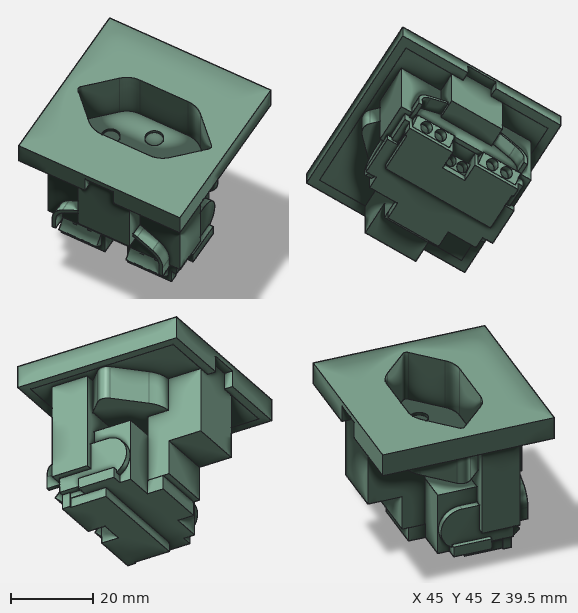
import cadquery as cq


module_height = 39.5

plate_size = 45.0
plate_height = 6.0
rim_wall = 2.3
skin = 1.55
cavity_half = plate_size / 2 - rim_wall
cavity_top = plate_height - skin
notch_width = 7.9

recess_half_length = 18.9
recess_half_width = 9.5
recess_corner_radius = 6.5
recess_tip_radius = 1.0
cup_wall = 1.55
cup_bottom = -9.0
cup_floor = cup_bottom + cup_wall
pin_hole_diameter = 4.6
pin_hole_depth = 0.75
pin_spacing = 19.0
earth_pin_offset = 4.72

clip_width = 14.4
clip_bottom = -17.78
wall_gap = 10.45
front_wall_width = 36.9
front_wall_face = -15.15
front_wall_bottom = -25.6
rear_wall_face = 11.2
rear_wall_bottom = -27.15

block_width = 30.25
block_front = -14.1
block_rear = 5.1
block_top = -14.15
block_bottom = -30.95
foot_width = 29.9
foot_rear = -2.02
foot_bottom = plate_height - module_height
slab_width = 30.85
slab_rear = -11.92
ear_thickness = 1.65
ear_radius = 5.55
ear_top = -18.5
ear_bottom = ear_top - 2 * ear_radius
ear_rear = 4.9
tab_thickness = 1.2
tab_rear = 2.02
tab_front = -7.95
tab_top = -28.12
tail_width = clip_width
tail_rear = 9.55
channel_width = 6.3
channel_face = -9.35

hood_face = -18.45
hood_bottom = -26.35
hood_strip = 1.0
hood_bend_radius = 6.0
hood_shoulder_z = -19.65
hood_top_z = -14.45
hood_top_half_width = 6.9

ridge_depth = 2.5
side_ridge_width = 10.58
side_ridge_x = 9.35
side_ridge_tip_z = -29.2
side_ridge_above = 2.65
side_ridge_below = 2.35
side_hole_diameter = 3.0
side_hole_spacing = 4.0
centre_ridge_tip_z = -28.45
centre_ridge_above = 3.15
centre_ridge_below = 2.02
centre_hole_diameter = 2.8
centre_hole_spacing = 3.25
screw_hole_depth = 2.9


def box(x_min, x_max, y_min, y_max, z_min, z_max):
    size = (x_max - x_min, y_max - y_min, z_max - z_min)
    return cq.Workplane("XY").box(*size, centered=False).translate((x_min, y_min, z_min))


def centred_box(width, y_min, y_max, z_min, z_max):
    """A box of the given X width, centred on X = 0."""
    return box(-width / 2, width / 2, y_min, y_max, z_min, z_max)


def recess_prism(z_min, z_max):
    """The recess outline as a solid; its slanted sides run at 45 degrees."""
    corner_x = recess_half_length - recess_half_width
    outline = [
        (-recess_half_length, 0),
        (-corner_x, recess_half_width),
        (corner_x, recess_half_width),
        (recess_half_length, 0),
        (corner_x, -recess_half_width),
        (-corner_x, -recess_half_width),
    ]
    prism = cq.Workplane("XY").workplane(offset=z_min).polyline(outline).close().extrude(z_max - z_min)
    prism = prism.edges("|Z and (<X or >X)").fillet(recess_tip_radius)
    long_side_corners = cq.selectors.BoxSelector(
        (-corner_x - 0.45, -plate_size, z_min - 0.45), (corner_x + 0.45, plate_size, z_max + 0.45)
    )
    return prism.edges("|Z").edges(long_side_corners).fillet(recess_corner_radius)


def cup_prism(z_min, z_max):
    """The outside of the cup: the recess outline grown by the cup wall."""
    outline = recess_prism(z_min, z_max).faces("<Z").wires().val()
    return cq.Workplane("XY").add(outline).toPending().offset2D(cup_wall).extrude(z_max - z_min)


def make_faceplate():
    half = plate_size / 2
    plate = centred_box(plate_size, -half, half, 0, plate_height)
    plate = plate.cut(centred_box(2 * cavity_half, -cavity_half, cavity_half, 0, cavity_top))
    plate = plate.cut(centred_box(notch_width, -half, half, 0, cavity_top))
    plate = plate.union(cup_prism(cup_bottom, plate_height))
    plate = plate.cut(recess_prism(cup_floor, plate_height))
    pins = [(-pin_spacing / 2, 0), (pin_spacing / 2, 0), (0, earth_pin_offset)]
    holes = cq.Workplane("XY").workplane(offset=cup_floor - pin_hole_depth).pushPoints(pins)
    return plate.cut(holes.circle(pin_hole_diameter / 2).extrude(pin_hole_depth))


def make_carrier(block):
    half_gap = wall_gap / 2
    carrier = centred_box(2 * cavity_half, -cavity_half, cavity_half, 0, cavity_top)
    carrier = carrier.union(centred_box(clip_width, -cavity_half, -half_gap, clip_bottom, 0))
    carrier = carrier.union(centred_box(clip_width, half_gap, cavity_half, clip_bottom, 0))
    carrier = carrier.union(
        centred_box(front_wall_width, front_wall_face, -half_gap, front_wall_bottom, 0)
    )
    carrier = carrier.union(centred_box(clip_width, half_gap, rear_wall_face, rear_wall_bottom, 0))
    carrier = carrier.cut(cup_prism(cup_bottom, plate_height))
    return carrier.cut(block)


def hood_prism(inset):
    """The solid under the hood's arch, drawn in by the inset on its sides and top."""
    leg_x = slab_width / 2
    outline = [
        (-leg_x, hood_bottom),
        (-leg_x, hood_shoulder_z),
        (-hood_top_half_width, hood_top_z),
        (hood_top_half_width, hood_top_z),
        (leg_x, hood_shoulder_z),
        (leg_x, hood_bottom),
    ]
    prism = cq.Workplane("XZ", origin=(0, block_front, 0)).polyline(outline).close()
    prism = prism.extrude(block_front - hood_face)
    prism = prism.edges("|Y").edges("not <Z").fillet(hood_bend_radius)
    if inset == 0:
        return prism
    wire = prism.faces("<Y").wires().val()
    inner = cq.Workplane("XZ", origin=(0, hood_face, 0)).add(wire).toPending().offset2D(-inset)
    return inner.extrude(hood_face - block_front)


def make_hood():
    hollow = hood_prism(hood_strip)
    open_bottom = hollow.union(hollow.translate((0, 0, -hood_strip)))
    return hood_prism(0).cut(open_bottom)


def make_ears():
    """Round-ended side plates on both sides of the block."""
    width = block_width + 2 * ear_thickness
    round_centre_y = ear_rear - ear_radius
    centre_z = ear_top - ear_radius
    bar = centred_box(width, block_front, round_centre_y, ear_bottom, ear_top)
    round_end = (
        cq.Workplane("YZ", origin=(-width / 2, round_centre_y, centre_z))
        .circle(ear_radius)
        .extrude(width)
    )
    return bar.union(round_end)


def make_ridge(x, face_y, width, tip_z, above, below, hole_diameter, hole_spacing):
    """A wedge and its hole cutters, on a face at face_y and centred at x."""
    profile = [
        (face_y, tip_z + above),
        (face_y - ridge_depth, tip_z),
        (face_y, tip_z - below),
    ]
    wedge = cq.Workplane("YZ", origin=(x - width / 2, 0, 0)).polyline(profile).close().extrude(width)
    lower_face = cq.Plane(
        origin=(x, face_y - ridge_depth / 2, tip_z - below / 2),
        xDir=(1, 0, 0),
        normal=(0, -below, -ridge_depth),
    )
    holes = cq.Workplane(lower_face).pushPoints([(-hole_spacing / 2, 0), (hole_spacing / 2, 0)])
    return wedge, holes.circle(hole_diameter / 2).extrude(-screw_hole_depth)


def make_terminal_block():
    block = centred_box(block_width, block_front, block_rear, block_bottom, block_top)
    block = block.union(make_ears()).union(make_hood())
    tab_width = block_width + 2 * (ear_thickness + tab_thickness)
    block = block.union(centred_box(tab_width, tab_front, tab_rear, block_bottom, tab_top))
    block = block.union(centred_box(tail_width, block_rear, tail_rear, block_bottom, rear_wall_bottom))
    block = block.union(centred_box(foot_width, slab_rear, foot_rear, foot_bottom, block_bottom))
    block = block.union(centred_box(slab_width, block_front, slab_rear, foot_bottom, ear_bottom))
    block = block.cut(
        centred_box(channel_width, block_front, channel_face, foot_bottom, front_wall_bottom)
    )
    side_ridge = (
        side_ridge_width,
        side_ridge_tip_z,
        side_ridge_above,
        side_ridge_below,
        side_hole_diameter,
        side_hole_spacing,
    )
    centre_ridge = (
        channel_width,
        centre_ridge_tip_z,
        centre_ridge_above,
        centre_ridge_below,
        centre_hole_diameter,
        centre_hole_spacing,
    )
    ridges = [
        make_ridge(-side_ridge_x, block_front, *side_ridge),
        make_ridge(side_ridge_x, block_front, *side_ridge),
        make_ridge(0, channel_face, *centre_ridge),
    ]
    for wedge, holes in ridges:
        block = block.union(wedge).cut(holes)
    return block


terminal_block = make_terminal_block()
faceplate = make_faceplate()
carrier = make_carrier(terminal_block)

result = cq.Compound.makeCompound([faceplate.val(), carrier.val(), terminal_block.val()])